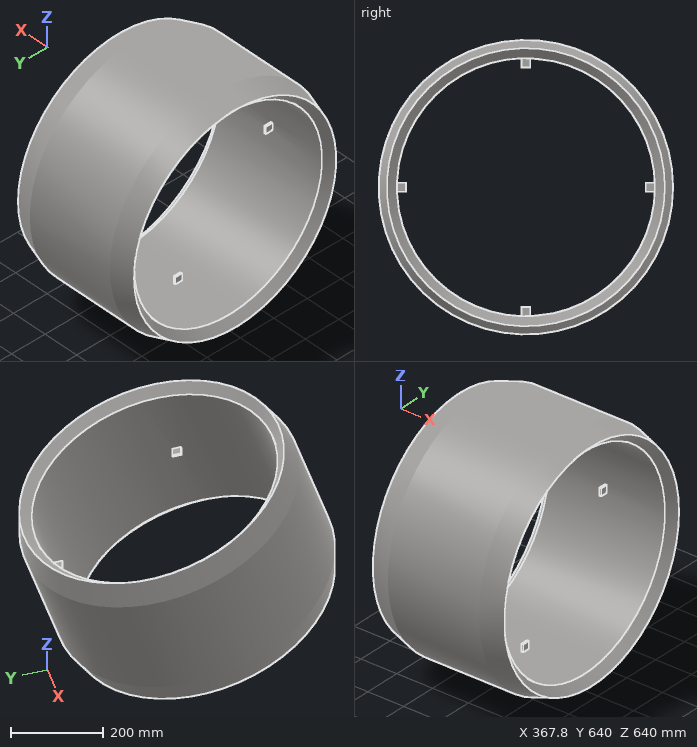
import cadquery as cq
import math

outer_radius = 320.0
wall_thickness = 40.0
inner_radius = outer_radius - wall_thickness
bore_length = 324.0

bevel_face_width = 31.0
bevel_angle = math.radians(45)
bevel_length = bevel_face_width * math.cos(bevel_angle)
rim_radius = inner_radius + bevel_face_width * math.sin(bevel_angle)

taper_face_width = 60.0
taper_drop = outer_radius - rim_radius
taper_length = math.sqrt(taper_face_width**2 - taper_drop**2)

lug_count = 4
lug_side = 20.0
lug_thickness = 5.0
lug_root_depth = wall_thickness / 2


def make_ring():
    """Revolve the wall section, drawn in XY with Y as radius, about X."""
    bore_end = bore_length / 2
    rim = bore_end + bevel_length
    shoulder = rim - taper_length
    section = cq.Workplane("XY").polyline(
        [
            (-rim, rim_radius),
            (-shoulder, outer_radius),
            (shoulder, outer_radius),
            (rim, rim_radius),
            (bore_end, inner_radius),
            (-bore_end, inner_radius),
        ]
    ).close()
    return section.revolve(360, (0, 0, 0), (1, 0, 0))


def make_lug(angle):
    """Plate pointing from the bore towards the axis, turned by angle about X."""
    radial_length = lug_side + lug_root_depth
    tip_radius = inner_radius - lug_side
    plate = cq.Workplane("XY").box(lug_thickness, radial_length, lug_side)
    plate = plate.translate((-lug_thickness / 2, tip_radius + radial_length / 2, 0))
    return plate.rotate((0, 0, 0), (1, 0, 0), angle)


result = make_ring()
for index in range(lug_count):
    result = result.union(make_lug(index * 360 / lug_count))